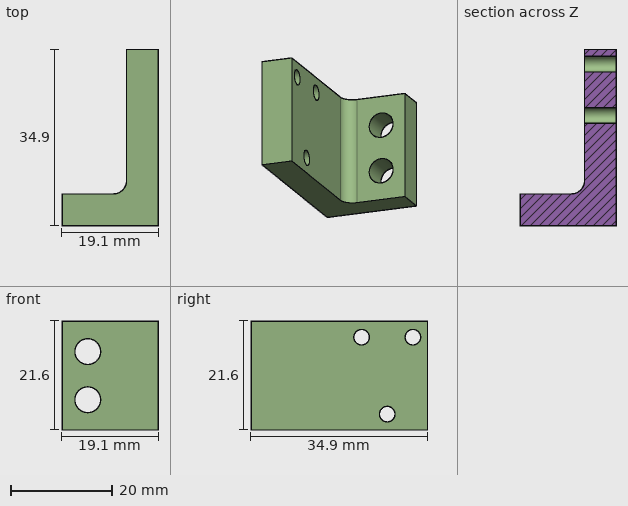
import cadquery as cq

width = 19.05
length = 34.92
height = 21.58
thickness = 6.35
inner_radius = 2.55

large_diameter = 5.05
large_edge_distance = 5.05
large_spacing = 9.55

small_diameter = 3.05
small_end_distance = 2.9
small_spacing = 10.15
small_edge_distance = 3.18


def make_body():
    """L-shaped block with a rounded inside corner."""
    inner_x = width - thickness
    profile = (
        cq.Workplane("XY")
        .lineTo(width, 0)
        .lineTo(width, length)
        .lineTo(inner_x, length)
        .lineTo(inner_x, thickness + inner_radius)
        .radiusArc((inner_x - inner_radius, thickness), inner_radius)
        .lineTo(0, thickness)
        .close()
    )
    return profile.extrude(height)


def make_large_holes():
    """Cutters along Y through the short leg."""
    lower_z = (height - large_spacing) / 2
    centres = [(large_edge_distance, z) for z in (lower_z, lower_z + large_spacing)]
    return cq.Workplane("XZ").pushPoints(centres).circle(large_diameter / 2).extrude(-thickness)


def make_small_holes():
    """Cutters along X through the long leg."""
    back_y = length - small_end_distance
    upper_z = height - small_edge_distance
    centres = [
        (back_y, upper_z),
        (back_y - small_spacing, upper_z),
        (back_y - small_spacing / 2, small_edge_distance),
    ]
    return cq.Workplane("YZ").pushPoints(centres).circle(small_diameter / 2).extrude(width)


result = make_body().cut(make_large_holes()).cut(make_small_holes())